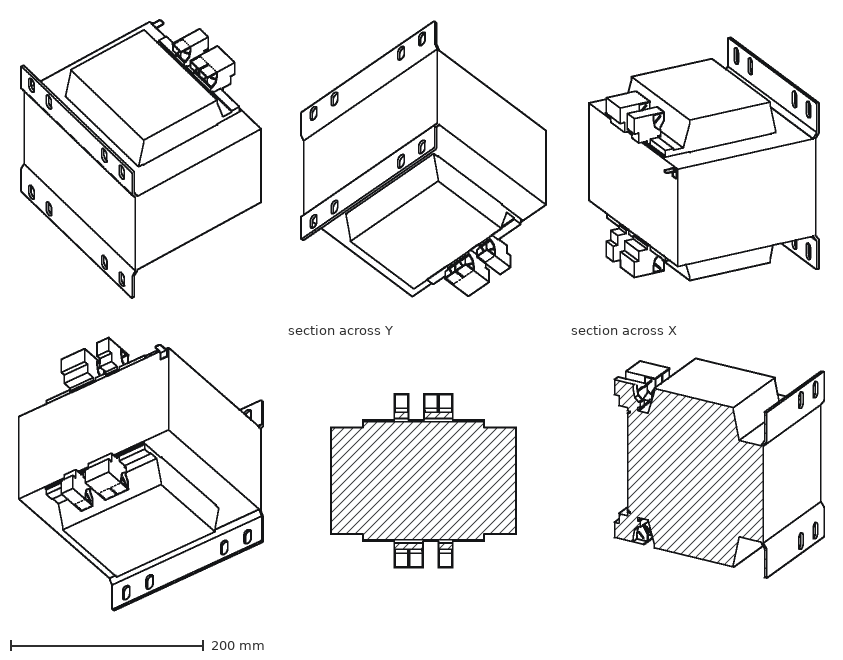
import cadquery as cq
import math

WIDTH = 192.0
HEIGHT = 189.0
DEPTH = 182.5

CORE_HALF_HEIGHT = 55.3
CORE_REAR = 167.2
WINDOW_WIDTH = 127.5
WINDOW_FRONT = 39.0

SHEET = 2.9
PLATE_OFFSET = 4.0
BEND_START = 60.7
BEND_RADIUS = 3.8
CORNER_RADIUS = 1.7
SLOT_LENGTH = 18.0
SLOT_WIDTH = 8.8
SLOT_HEIGHT = 80.5
SLOT_POSITIONS = (47.8, 77.8)

COIL_FRONT = 39.7
COIL_REAR = 135.0
COIL_HALF_HEIGHT = 91.2
FRAME_WIDTH = 126.0
FRAME_FRONT = 33.0
FRAME_HALF_HEIGHT = 87.4

LEDGE_TOP = 61.2
LEDGE_FRONT = 142.7
BAR_TOP = 63.0
BAR_FRONT = 154.2
BAR_REAR = 164.0
LIP_TOP = 56.6
LIP_REAR = 165.7

TERMINAL_WIDTH = 15.0
TERMINAL_STARTS = (-30.3, 0.4, 15.4)
TERMINAL_TOP = 90.2
TERMINAL_FRONT = 147.3
TERMINAL_NOSE_BOTTOM = 80.3
TERMINAL_FOOT_FRONT = 151.5
TERMINAL_FOOT_TOP = 73.3
TERMINAL_FOOT_REAR = 152.3
NOTCH_TOP = 64.5
HOOK_BOTTOM = 57.8
TERMINAL_UNDERSIDE = 61.5
TERMINAL_STEP_REAR = 177.5
TERMINAL_STEP_HEIGHT = 72.5
ENTRY_REAR = 159.7
ENTRY_REAR_BOTTOM = 83.5
ENTRY_KNEE = (158.0, 75.3)
ENTRY_FLOOR = 71.2
ENTRY_FLOOR_REAR = 153.5
TERMINAL_WALL = 1.0
TERMINAL_ROOF = 1.2
SIDE_RECESS = 0.4
BRIDGE_CENTRE = (154.8, 83.7)
BRIDGE_LENGTH = 8.5
BRIDGE_THICKNESS = 1.2
BRIDGE_ANGLE = 135

LUG_X = -90.2
LUG_SHEET = 1.0
LUG_TOP = 53.0
LUG_BOTTOM = 43.8
LUG_TIP = 179.1
LUG_BASE_WIDTH = 8.5
LUG_SHOULDER = 170.3
LUG_BLADE_WIDTH = 7.0
LUG_BLADE_CHAMFER = 1.2


def extrude_along_x(points, start, width):
    """Extrude a closed (Y, Z) outline from X = start toward +X."""
    return cq.Workplane("YZ").workplane(offset=start).polyline(points).close().extrude(width)


def mirrored_outline(upper):
    """Close an upper (Y, Z) outline with its reflection about Z = 0."""
    return upper + [(y, -z) for y, z in reversed(upper)]


def mounting_plate():
    half_height = HEIGHT / 2
    plate_rear = PLATE_OFFSET + SHEET
    bend_angle = math.atan2(PLATE_OFFSET, BEND_START - CORE_HALF_HEIGHT)
    bend_shift = SHEET * math.tan(bend_angle / 2)
    front = [(PLATE_OFFSET, CORE_HALF_HEIGHT), (0, BEND_START), (0, half_height)]
    rear = [
        (SHEET, half_height),
        (SHEET, BEND_START + bend_shift),
        (plate_rear, CORE_HALF_HEIGHT + bend_shift),
    ]
    plate = extrude_along_x(mirrored_outline(front + rear), -WIDTH / 2, WIDTH)

    for side in (1, -1):
        bends = ((0, BEND_START), (plate_rear, CORE_HALF_HEIGHT + bend_shift))
        for y, z in bends:
            plate = plate.edges(cq.NearestToPointSelector((0, y, side * z))).fillet(BEND_RADIUS)
        for x in (-WIDTH / 2, WIDTH / 2):
            corner = cq.NearestToPointSelector((x, SHEET / 2, side * half_height))
            plate = plate.edges(corner).fillet(CORNER_RADIUS)

    slot_centres = [
        (x_side * x, z_side * SLOT_HEIGHT)
        for x in SLOT_POSITIONS
        for x_side in (1, -1)
        for z_side in (1, -1)
    ]
    slots = (
        cq.Workplane("XZ")
        .pushPoints(slot_centres)
        .slot2D(SLOT_LENGTH, SLOT_WIDTH, 90)
        .extrude(-SHEET)
    )
    return plate.cut(slots)


def core():
    """Solid stack with a rectangular window, open at top and bottom, for the coil."""
    front = PLATE_OFFSET + SHEET
    outline = mirrored_outline([(front, CORE_HALF_HEIGHT), (CORE_REAR, CORE_HALF_HEIGHT)])
    window = mirrored_outline([(WINDOW_FRONT, CORE_HALF_HEIGHT), (COIL_REAR, CORE_HALF_HEIGHT)])
    stack = extrude_along_x(outline, -WIDTH / 2, WIDTH)
    return stack.cut(extrude_along_x(window, -WINDOW_WIDTH / 2, WINDOW_WIDTH))


def coil():
    outline = mirrored_outline([(COIL_FRONT, COIL_HALF_HEIGHT), (COIL_REAR, COIL_HALF_HEIGHT)])
    return extrude_along_x(outline, -FRAME_WIDTH / 2, FRAME_WIDTH)


def insulating_frame():
    """Tapered frame around the coil, with the terminal carrier at its rear."""
    upper = [
        (FRAME_FRONT, CORE_HALF_HEIGHT),
        (COIL_FRONT, FRAME_HALF_HEIGHT),
        (COIL_REAR, FRAME_HALF_HEIGHT),
        (LEDGE_FRONT, LEDGE_TOP),
        (BAR_FRONT, LEDGE_TOP),
        (BAR_FRONT, BAR_TOP),
        (BAR_REAR, BAR_TOP),
        (BAR_REAR, LIP_TOP),
        (LIP_REAR, LIP_TOP),
        (LIP_REAR, CORE_HALF_HEIGHT),
    ]
    return extrude_along_x(mirrored_outline(upper), -FRAME_WIDTH / 2, FRAME_WIDTH)


def terminal(start):
    """Upper terminal block with a wire entry that is open toward -Y."""
    outline = [
        (TERMINAL_FRONT, TERMINAL_TOP),
        (TERMINAL_FRONT, TERMINAL_NOSE_BOTTOM),
        (TERMINAL_FOOT_FRONT, TERMINAL_FOOT_TOP),
        (TERMINAL_FOOT_FRONT, BAR_TOP),
        (TERMINAL_FOOT_REAR, BAR_TOP),
        (TERMINAL_FOOT_REAR, NOTCH_TOP),
        (BAR_FRONT, NOTCH_TOP),
        (BAR_FRONT, BAR_TOP),
        (BAR_REAR, BAR_TOP),
        (BAR_REAR, HOOK_BOTTOM),
        (CORE_REAR, HOOK_BOTTOM),
        (CORE_REAR, TERMINAL_UNDERSIDE),
        (TERMINAL_STEP_REAR, TERMINAL_UNDERSIDE),
        (TERMINAL_STEP_REAR, TERMINAL_STEP_HEIGHT),
        (DEPTH, TERMINAL_STEP_HEIGHT),
        (DEPTH, TERMINAL_TOP),
    ]
    entry_top = TERMINAL_TOP - TERMINAL_ROOF
    entry = [
        (TERMINAL_FRONT, entry_top),
        (ENTRY_REAR, entry_top),
        (ENTRY_REAR, ENTRY_REAR_BOTTOM),
        ENTRY_KNEE,
        (ENTRY_FLOOR_REAR, ENTRY_FLOOR),
        (TERMINAL_FRONT, ENTRY_FLOOR),
    ]
    block = extrude_along_x(outline, start, TERMINAL_WIDTH)
    block = block.cut(extrude_along_x(entry, start + TERMINAL_WALL, TERMINAL_WIDTH - 2 * TERMINAL_WALL))

    for recess_start in (start, start + TERMINAL_WIDTH - SIDE_RECESS):
        bridge = (
            cq.Workplane("YZ")
            .workplane(offset=recess_start)
            .center(*BRIDGE_CENTRE)
            .transformed(rotate=(0, 0, BRIDGE_ANGLE))
            .rect(BRIDGE_LENGTH, BRIDGE_THICKNESS)
            .extrude(SIDE_RECESS)
        )
        block = block.cut(extrude_along_x(entry, recess_start, SIDE_RECESS).cut(bridge))
    return block


def earth_lug():
    """Flat tab on the rear of the core with a blade bent toward +Y."""
    base_half = LUG_BASE_WIDTH / 2
    blade_half = LUG_BLADE_WIDTH / 2
    right_side = [
        (base_half, CORE_REAR),
        (base_half, LUG_SHOULDER),
        (blade_half, LUG_SHOULDER),
        (blade_half, LUG_TIP - LUG_BLADE_CHAMFER),
        (blade_half - LUG_BLADE_CHAMFER, LUG_TIP),
    ]
    outline = right_side + [(-x, y) for x, y in reversed(right_side)]
    blade = (
        cq.Workplane("XY", origin=(LUG_X, 0, LUG_TOP - LUG_SHEET))
        .polyline(outline)
        .close()
        .extrude(LUG_SHEET)
    )
    tab = cq.Workplane("XY").box(
        LUG_BASE_WIDTH, LUG_SHEET, LUG_TOP - LUG_BOTTOM, centered=(True, False, False)
    )
    return blade.union(tab.translate((LUG_X, CORE_REAR, LUG_BOTTOM)))


result = core().union(mounting_plate()).union(coil()).union(insulating_frame()).union(earth_lug())
for terminal_start in TERMINAL_STARTS:
    upper_terminal = terminal(terminal_start)
    lower_terminal = upper_terminal.rotate((0, 0, 0), (0, 1, 0), 180)
    result = result.union(upper_terminal).union(lower_terminal)